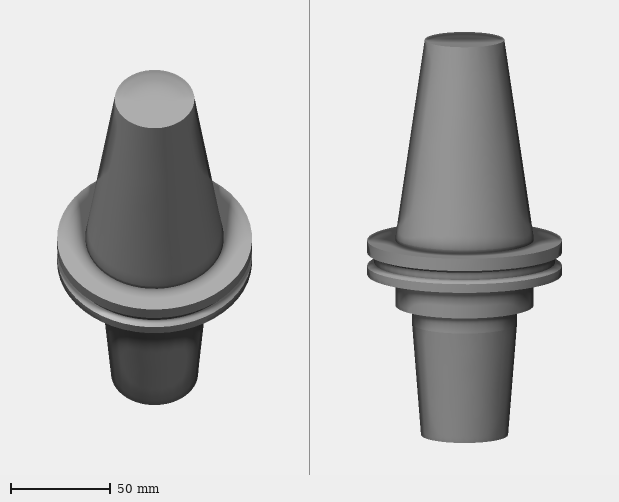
import cadquery as cq
import math


gauge_diameter = 69.85
taper_length = 101.6
taper_ratio = 7 / 24
shank_end_diameter = gauge_diameter - taper_length * taper_ratio

flange_diameter = 98.43
flange_top_z = -1.5
flange_bottom_z = -19.05

groove_floor_diameter = 91.2
groove_center_z = -11.2
groove_mouth_width = 6.8
groove_flank_angle = 22.5

body_diameter = gauge_diameter
body_bottom_z = -35.0
nose_diameter = 53.0
nose_tip_diameter = 44.0
nose_half_angle = 4.5
nose_tip_z = -101.6
nose_cone_length = (nose_diameter - nose_tip_diameter) / 2 / math.tan(math.radians(nose_half_angle))
nose_cone_top_z = nose_tip_z + nose_cone_length


def revolve_profile(points):
    """Full turn about Z of an outline given as (radius, z) points."""
    return cq.Workplane("XZ").polyline(points).close().revolve(360, (0, 0, 0), (0, 1, 0))


def cylinder(diameter, bottom_z, top_z):
    return cq.Workplane("XY").workplane(offset=bottom_z).circle(diameter / 2).extrude(top_z - bottom_z)


def make_shank():
    return revolve_profile([
        (0, 0),
        (gauge_diameter / 2, 0),
        (shank_end_diameter / 2, taper_length),
        (0, taper_length),
    ])


def make_groove():
    flange_radius = flange_diameter / 2
    floor_radius = groove_floor_diameter / 2
    flank_height = (flange_radius - floor_radius) * math.tan(math.radians(groove_flank_angle))
    half_mouth = groove_mouth_width / 2
    half_floor = half_mouth - flank_height
    return revolve_profile([
        (flange_radius, groove_center_z - half_mouth),
        (floor_radius, groove_center_z - half_floor),
        (floor_radius, groove_center_z + half_floor),
        (flange_radius, groove_center_z + half_mouth),
    ])


def make_flange():
    return cylinder(flange_diameter, flange_bottom_z, flange_top_z).cut(make_groove())


def make_nose():
    return revolve_profile([
        (0, nose_tip_z),
        (nose_tip_diameter / 2, nose_tip_z),
        (nose_diameter / 2, nose_cone_top_z),
        (nose_diameter / 2, body_bottom_z),
        (0, body_bottom_z),
    ])


collar = cylinder(gauge_diameter, flange_top_z, 0)
body = cylinder(body_diameter, body_bottom_z, flange_bottom_z)

result = make_shank().union(collar).union(make_flange()).union(body).union(make_nose())